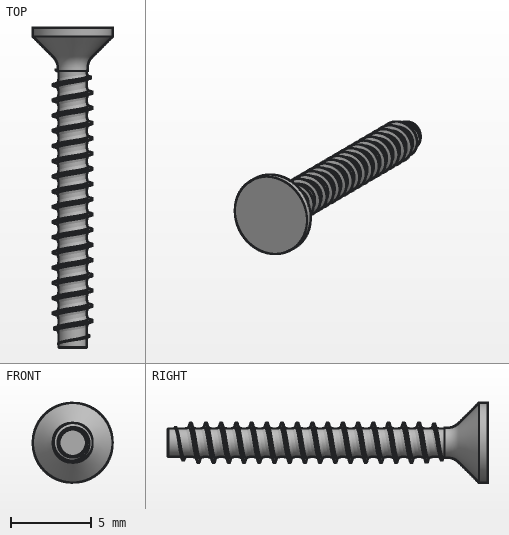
import cadquery as cq
import math

length = 20.0
head_radius = 2.5
rim_height = 0.55

cone_end_radius = 1.25
cone_height = head_radius - cone_end_radius
shank_radius = 0.95
neck_height = 0.72
core_length = 17.3

core_diameter = 1.78
core_radius = core_diameter / 2
tip_chamfer = 0.05

crest_diameter = 2.5
crest_radius = crest_diameter / 2
crest_width = 0.05
foot_radius = 0.95
foot_width = 0.22
root_sink = 0.02
root_radius = core_radius - root_sink
root_width = 0.85

thread_start = 0.25
start_angle = 180
thread_length = 17.1
thread_turns = 18
pitch = thread_length / thread_turns
tip_runout_turns = 1.25
neck_runout_turns = 1
full_turns = thread_turns - tip_runout_turns - neck_runout_turns
tip_end_scale = 0.1
neck_end_scale = 0.5
same_radius = 2e-07


def thread_section(scale, height):
    """(radius, height) corners of the thread section at a given height, shrunk towards its root."""
    corners = [
        (root_radius, root_width / 2),
        (foot_radius, foot_width / 2),
        (crest_radius, crest_width / 2),
        (crest_radius, -crest_width / 2),
        (foot_radius, -foot_width / 2),
        (root_radius, -root_width / 2),
    ]
    return [
        (root_radius + scale * (radius - root_radius), height + scale * offset)
        for radius, offset in corners
    ]


def helix_between(start, end, turns):
    """Right-handed helix that climbs from one (radius, height) point to another."""
    (start_radius, start_height), (end_radius, end_height) = start, end
    rise = end_height - start_height
    growth = end_radius - start_radius
    if abs(growth) < same_radius:
        helix = cq.Wire.makeHelix(rise / turns, rise, start_radius)
    else:
        slant = math.hypot(rise, growth)
        cone_angle = math.degrees(math.atan2(growth, rise))
        helix = cq.Wire.makeHelix(slant / turns, slant, start_radius, angle=cone_angle)
    return helix.translate(cq.Vector(0, 0, start_height))


def turned(face, turns_before):
    """Turn a face made at +X about the screw axis to its place along the thread."""
    return face.rotate(cq.Vector(0, 0, 0), cq.Vector(0, 0, 1), start_angle + 360 * turns_before)


def thread_stretch(turns_before, turns, start_scale, end_scale):
    """Side faces of a stretch of thread whose section changes evenly from one scale to another."""
    base = thread_start + turns_before * pitch
    starts = thread_section(start_scale, base)
    ends = thread_section(end_scale, base + turns * pitch)
    helices = [helix_between(start, end, turns) for start, end in zip(starts, ends)]
    sides = [cq.Face.makeRuledSurface(helices[i - 1], helices[i]) for i in range(len(helices))]
    return [turned(side, turns_before) for side in sides]


def thread_end(turns_before, scale):
    """Flat face that closes one end of the thread."""
    section = thread_section(scale, thread_start + turns_before * pitch)
    corners = [cq.Vector(radius, 0, height) for radius, height in section]
    face = cq.Face.makeFromWires(cq.Wire.makePolygon(corners, close=True))
    return turned(face, turns_before)


def make_thread():
    """Right-handed thread that grows out of the core at the tip and fades towards the neck."""
    faces = [thread_end(0, tip_end_scale)]
    turns_before = 0
    for turns, start_scale, end_scale in (
        (tip_runout_turns, tip_end_scale, 1),
        (full_turns, 1, 1),
        (neck_runout_turns, 1, neck_end_scale),
    ):
        faces += thread_stretch(turns_before, turns, start_scale, end_scale)
        turns_before += turns
    faces.append(thread_end(turns_before, neck_end_scale))
    return cq.Workplane(obj=cq.Solid.makeSolid(cq.Shell.makeShell(faces)))


def make_body():
    """Core, neck and countersunk head, standing on the tip with the axis along Z."""
    rim_bottom = length - rim_height
    cone_bottom = rim_bottom - cone_height
    outline = (
        cq.Workplane("XZ")
        .lineTo(core_radius - tip_chamfer, 0)
        .lineTo(core_radius, tip_chamfer)
        .lineTo(core_radius, core_length)
        .lineTo(shank_radius, core_length)
        .lineTo(shank_radius, cone_bottom - neck_height)
        .tangentArcPoint((cone_end_radius, cone_bottom), relative=False)
        .lineTo(head_radius, rim_bottom)
        .lineTo(head_radius, length)
        .lineTo(0, length)
        .close()
    )
    return outline.revolve(360, (0, 0, 0), (0, 1, 0))


screw = make_body().union(make_thread())

result = screw.rotate((0, 0, 0), (1, 0, 0), -90)